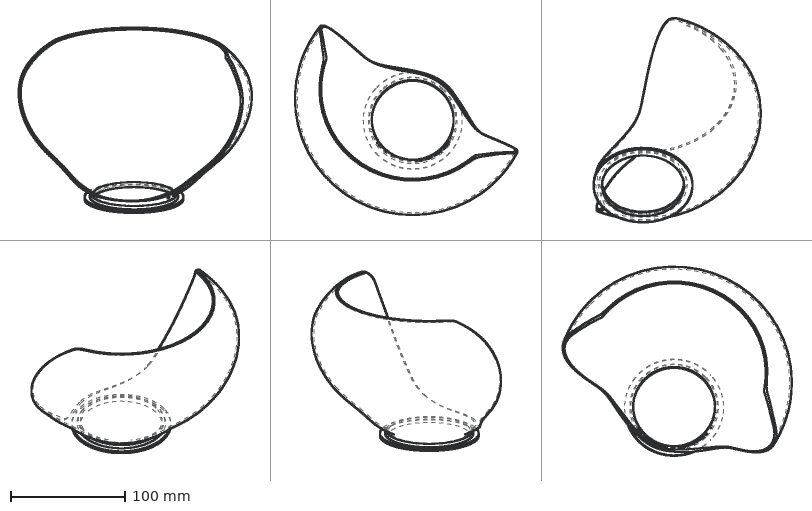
import cadquery as cq
import math

max_radius = 103.0
height = 132.0
wall = 2.0

flange_radius = 43.3
flange_height = 2.0
hole_radius = 71.7 / 2

neck_radius = 37.7
neck_height = 4.7
widest_height = 92.3
top_rim_radius = 81.5
flare_points = [(42.9, 10.7), (60.8, 26.0), (83.7, 47.8), (100.1, 76.2)]
crown_points = [(100.4, 108.4), (92.0, 122.0)]
outer_points = (
    [(neck_radius, neck_height)]
    + flare_points
    + [(max_radius, widest_height)]
    + crown_points
    + [(top_rim_radius, height)]
)
neck_foot_radius = 38.7

opening_angle = 3.0
opening_front = -18.5
opening_width = 46.2
opening_rise = 89.6
lip_radius = 22.7
lip_height = 10.0
reach = 2 * max_radius


def bowl_shell():
    """Thin revolved bowl, with the inner curve offset along the outer normals."""
    outer = cq.Edge.makeSpline(
        [cq.Vector(r, z, 0) for r, z in outer_points],
        tangents=[cq.Vector(0, 1, 0), cq.Vector(-1, 0.8, 0)],
    )
    inner_steps = 16
    inner_points = []
    for step in range(inner_steps + 1):
        position = outer.positionAt(step / inner_steps)
        tangent = outer.tangentAt(step / inner_steps)
        inner_points.append((position.x - wall * tangent.y, position.y + wall * tangent.x))
    overrun = wall
    outer_top = (top_rim_radius - overrun, height + overrun)
    profile = (
        cq.Workplane("XZ")
        .moveTo(*outer_points[0])
        .spline(outer_points[1:], tangents=[(0, 1), (-1, 0.8)], includeCurrent=True)
        .lineTo(*outer_top)
        .lineTo(*inner_points[-1])
        .spline(inner_points[-2::-1], includeCurrent=True)
        .close()
    )
    trim = cq.Workplane("XY").circle(reach).extrude(height)
    return profile.revolve(360, (0, 0, 0), (0, 1, 0)).intersect(trim)


def base_ring():
    """Flat flange and the short neck standing on it."""
    return (
        cq.Workplane("XZ")
        .moveTo(hole_radius, 0)
        .lineTo(flange_radius, 0)
        .lineTo(flange_radius, flange_height)
        .lineTo(neck_foot_radius, flange_height)
        .lineTo(neck_radius, neck_height)
        .lineTo(neck_radius - wall, neck_height)
        .lineTo(hole_radius, flange_height)
        .close()
        .revolve(360, (0, 0, 0), (0, 1, 0))
    )


def front_opening():
    """Solid removed from the front of the bowl."""
    ellipse_y = opening_front + opening_width
    ellipse_z = height - opening_rise
    lip_y = opening_front - lip_radius
    lip_z = lip_height + lip_radius
    diagonal = math.sqrt(0.5)
    lip_middle = (lip_y + lip_radius * diagonal, lip_z - lip_radius * diagonal)
    ellipse_points = []
    for degrees in (15, 30, 45, 60, 75, 90):
        angle = math.radians(degrees)
        ellipse_points.append(
            (ellipse_y - opening_width * math.cos(angle), ellipse_z + opening_rise * math.sin(angle))
        )
    return (
        cq.Workplane("YZ", origin=(-reach, 0, 0))
        .moveTo(-reach, lip_height)
        .lineTo(lip_y, lip_height)
        .threePointArc(lip_middle, (opening_front, lip_z))
        .lineTo(opening_front, ellipse_z)
        .spline(ellipse_points, tangents=[(0, 1), (1, 0)], includeCurrent=True)
        .lineTo(ellipse_y, height + reach)
        .lineTo(-reach, height + reach)
        .close()
        .extrude(2 * reach)
        .rotate((0, 0, 0), (0, 0, 1), opening_angle)
    )


result = bowl_shell().cut(front_opening()).union(base_ring())